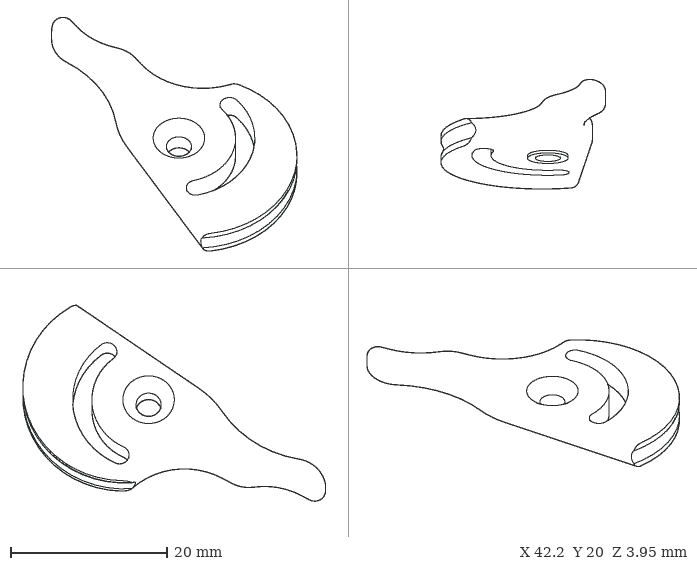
import cadquery as cq
import math

thickness = 3.6
edge_round = 1.0

rim_centre_x = 3.6
rim_radius = 13.0
groove_width = 2.0
groove_depth = 0.33
groove_start_angle = -45.0
groove_end_angle = 135.0

pivot_hole_radius = 1.6
countersink_radius = 3.3
countersink_angle = 90.0
boss_radius = 2.6
boss_height = 0.35

slot_radius = 8.5
slot_width = 2.45
slot_start_angle = -21.5
slot_end_angle = 94.0

tip_radius = 1.4
tip_centre = (-24.2, -0.66)
tip_turn = 130.0

tip_flat = 1.2
upper_wave_turn = 38.3
finger_radius = 9.4
knuckle_radius = 4.5
knuckle_flat = 1.35
throat_radius = 9.65

belly_radius = 4.2
belly_turn = 70.0
hollow_radius = 14.6
hollow_turn = 47.85
heel_radius = 11.5
straight_edge_heading = -6.25


def step(point, heading, distance):
    """Point reached by moving a distance along a heading in degrees."""
    angle = math.radians(heading)
    return (point[0] + distance * math.cos(angle), point[1] + distance * math.sin(angle))


def tangent_arc(point, heading, radius, turn):
    """Middle point, end point and end heading of an arc; a positive turn bends left."""
    side = math.copysign(90, turn)
    centre = step(point, heading + side, radius)
    middle = step(centre, heading - side + turn / 2, radius)
    end = step(centre, heading - side + turn, radius)
    return middle, end, heading + turn


def throat_turn(start):
    """Turn of the throat arc, which starts level at a point and ends on the rim."""
    across = rim_centre_x - start[0]
    up = -(start[1] + throat_radius)
    distance = math.hypot(across, up)
    cosine = (throat_radius**2 + distance**2 - rim_radius**2) / (2 * throat_radius * distance)
    to_rim_centre = math.degrees(math.atan2(up, across))
    return to_rim_centre + math.degrees(math.acos(cosine)) + 90


def distance_to_rim(point, heading):
    """Distance along a heading from a point inside the rim circle to that circle."""
    angle = math.radians(heading)
    dx = point[0] - rim_centre_x
    along = dx * math.cos(angle) + point[1] * math.sin(angle)
    return -along + math.sqrt(along**2 + rim_radius**2 - dx**2 - point[1] ** 2)


def lever_blank():
    """Extruded outline with every edge rounded except those along the rim."""
    tip_top = step(tip_centre, 90, tip_radius)

    outline = cq.Workplane("XY").moveTo(*tip_top)
    point, heading = tip_top, 180.0
    heel_turn = 360 + straight_edge_heading - (heading + tip_turn + belly_turn - hollow_turn)
    lower_arcs = [
        (tip_radius, tip_turn),
        (belly_radius, belly_turn),
        (hollow_radius, -hollow_turn),
        (heel_radius, heel_turn),
    ]
    for radius, turn in lower_arcs:
        middle, point, heading = tangent_arc(point, heading, radius, turn)
        outline = outline.threePointArc(middle, point)
    rim_start = step(point, heading, distance_to_rim(point, heading))
    outline = outline.lineTo(*rim_start)

    finger_start = step(tip_top, 0, tip_flat)
    finger_middle, finger_end, rise = tangent_arc(finger_start, 0, finger_radius, upper_wave_turn)
    knuckle_middle, knuckle_end, level = tangent_arc(finger_end, rise, knuckle_radius, -upper_wave_turn)
    throat_start = step(knuckle_end, level, knuckle_flat)
    throat_middle, rim_end, _ = tangent_arc(throat_start, level, throat_radius, throat_turn(throat_start))

    rim_centre = (rim_centre_x, 0)
    start_angle = math.degrees(math.atan2(rim_start[1], rim_start[0] - rim_centre_x))
    end_angle = math.degrees(math.atan2(rim_end[1], rim_end[0] - rim_centre_x))
    rim_middle = step(rim_centre, (start_angle + end_angle) / 2, rim_radius)
    outline = outline.threePointArc(rim_middle, rim_end)
    outline = outline.threePointArc(throat_middle, throat_start).lineTo(*knuckle_end)
    outline = outline.threePointArc(knuckle_middle, finger_end)
    outline = outline.threePointArc(finger_middle, finger_start).close()

    blank = outline.extrude(thickness)

    flat_edges = blank.faces("<Z or >Z").edges()
    rim_edges = flat_edges.edges(">X")
    side_edges = [edge for edge in flat_edges.vals() if edge not in rim_edges.vals()]
    return blank.newObject(side_edges).fillet(edge_round)


def rim_groove():
    """Part ring, a little longer than the rim, that hollows the middle of the rim."""
    middle = thickness / 2
    low = (rim_radius, middle - groove_width / 2)
    high = (rim_radius, middle + groove_width / 2)
    section = (
        cq.Workplane("XZ", origin=(rim_centre_x, 0, 0))
        .moveTo(*low)
        .threePointArc((rim_radius - groove_depth, middle), high)
        .lineTo(rim_radius + groove_depth, high[1])
        .lineTo(rim_radius + groove_depth, low[1])
        .close()
    )
    sweep = groove_end_angle - groove_start_angle
    ring = section.revolve(sweep, (0, 0), (0, 1))
    return ring.rotate((rim_centre_x, 0, 0), (rim_centre_x, 0, 1), groove_start_angle)


def curved_slot():
    """Round-ended slot that follows an arc about the pivot."""
    origin = (0, 0)
    half = slot_width / 2
    middle_angle = (slot_start_angle + slot_end_angle) / 2
    inner = slot_radius - half
    outer = slot_radius + half
    start_cap = step(step(origin, slot_start_angle, slot_radius), slot_start_angle - 90, half)
    end_cap = step(step(origin, slot_end_angle, slot_radius), slot_end_angle + 90, half)
    return (
        cq.Workplane("XY")
        .moveTo(*step(origin, slot_start_angle, outer))
        .threePointArc(step(origin, middle_angle, outer), step(origin, slot_end_angle, outer))
        .threePointArc(end_cap, step(origin, slot_end_angle, inner))
        .threePointArc(step(origin, middle_angle, inner), step(origin, slot_start_angle, inner))
        .threePointArc(start_cap, step(origin, slot_start_angle, outer))
        .close()
        .extrude(thickness)
    )


def add_pivot(body):
    """Boss on the underside, then the countersunk hole through everything."""
    boss = cq.Workplane("XY").circle(boss_radius).extrude(-boss_height)
    return (
        body.union(boss)
        .faces(">Z")
        .workplane(origin=(0, 0, thickness))
        .cskHole(2 * pivot_hole_radius, 2 * countersink_radius, countersink_angle)
    )


lever = lever_blank().cut(rim_groove()).cut(curved_slot())
result = add_pivot(lever)